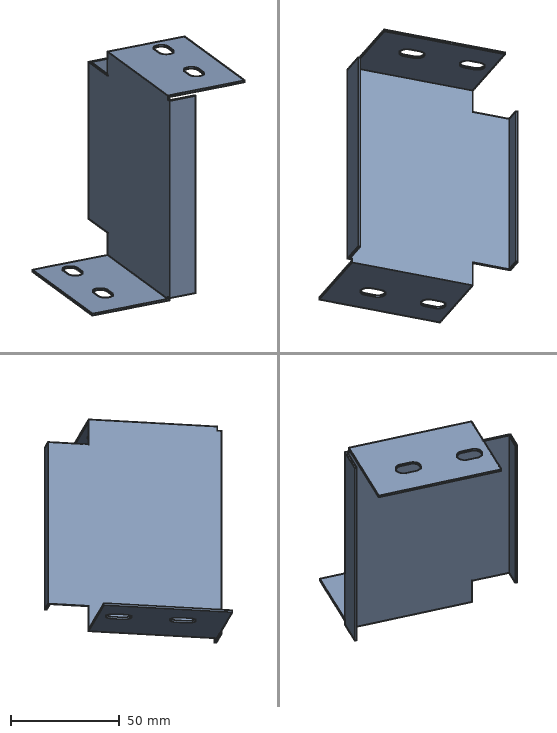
import cadquery as cq

thickness = 1.0

overall_width = 81.0
overall_depth = 78.84
overall_height = 102.0

corner_relief = 2.0
flange_width = 60.0
tongue_height = 78.0
left_lip_depth = 9.25
right_lip_depth = 13.5

slot_length = 12.0
slot_width = 7.2
slot_spacing = 30.0
first_slot_inset = 9.75
slot_end_distance = 15.85

flange_depth = (overall_depth + thickness) / 2
right_lip_height = overall_height - 2 * corner_relief
left_x = -overall_width / 2
right_x = overall_width / 2
flange_right_x = right_x - corner_relief
flange_left_x = flange_right_x - flange_width
top_z = overall_height / 2


def block(x_range, y_range, z_range):
    """Box spanning the given (min, max) ranges."""
    sizes = [high - low for low, high in (x_range, y_range, z_range)]
    corner = (x_range[0], y_range[0], z_range[0])
    return cq.Workplane("XY").box(*sizes, centered=False).translate(corner)


def centred(size):
    """(min, max) range of the given size about zero."""
    return (-size / 2, size / 2)


def make_web():
    """Flat upright panel, stepped in height from the left tongue to the right lip."""
    sheet = (0, thickness)
    centre = block((flange_left_x, flange_right_x), sheet, centred(overall_height))
    tongue = block((left_x, flange_left_x), sheet, centred(tongue_height))
    right_strip = block((flange_right_x, right_x), sheet, centred(right_lip_height))
    return centre.union(tongue).union(right_strip)


def make_lips():
    """Left and right edge lips, both bent backwards."""
    left = block((left_x, left_x + thickness), (0, left_lip_depth), centred(tongue_height))
    right = block((right_x - thickness, right_x), (0, right_lip_depth), centred(right_lip_height))
    return left.union(right)


def make_flange(y_range, z_range, slot_y):
    """Horizontal mounting flange with a row of two slots along X."""
    flange = block((flange_left_x, flange_right_x), y_range, z_range)
    first_slot_x = flange_left_x + first_slot_inset
    slots = (
        cq.Workplane("XY", origin=(0, 0, z_range[0]))
        .pushPoints([(first_slot_x, slot_y), (first_slot_x + slot_spacing, slot_y)])
        .slot2D(slot_length, slot_width)
        .extrude(thickness)
    )
    return flange.cut(slots)


rear_y = flange_depth
front_y = thickness - flange_depth
top_flange = make_flange((0, rear_y), (top_z - thickness, top_z), rear_y - slot_end_distance)
bottom_flange = make_flange(
    (front_y, thickness), (-top_z, thickness - top_z), front_y + slot_end_distance
)

result = make_web().union(make_lips()).union(top_flange).union(bottom_flange).clean()